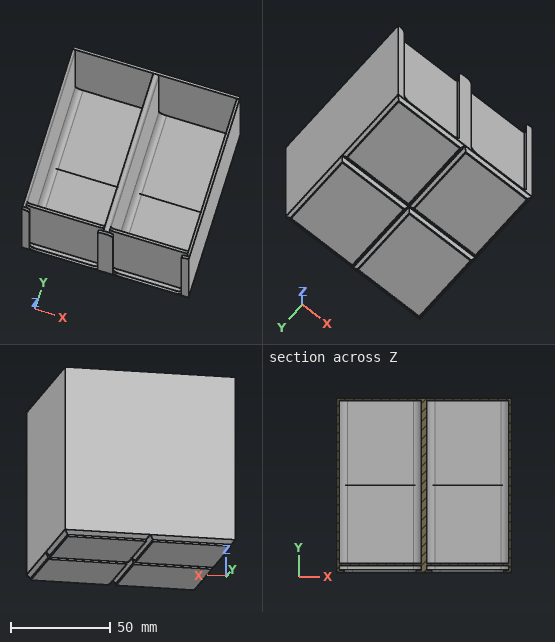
import cadquery as cq

size = 88.0
cells = 2
pitch = size / cells

foot_height = 3.1
foot_straight = 1.0
foot_inset = 1.8

wall = 1.5
floor_top = 3.5
floor_radius = 4.0

frame_thickness = 1.4
slot_depth = 2.0
panel_thickness = 1.3
slot_back = frame_thickness + slot_depth
panel_back = slot_back + panel_thickness

window_margin = 4.0
window_base = 4.0
window_radius = 4.0
window_flare = 3.1
panel_top = size - window_margin
panel_fillet = 2.4


def prism_along_y(profile, y_start, y_end):
    """Extrude a closed XZ profile between two Y positions."""
    return profile.extrude(-(y_end - y_start)).translate((0, y_start, 0))


def foot(x_start, y_start):
    """A square foot that widens upwards to fill its grid cell."""
    center = (x_start + pitch / 2, y_start + pitch / 2)
    base_side = pitch - 2 * foot_inset
    base = cq.Workplane("XY").center(*center).rect(base_side, base_side).extrude(foot_straight)
    taper = (
        cq.Workplane("XY", origin=(0, 0, foot_straight))
        .center(*center)
        .rect(base_side, base_side)
        .workplane(offset=foot_height - foot_straight)
        .rect(pitch, pitch)
        .loft(ruled=True)
    )
    return base.union(taper)


def pocket(x_left, x_right, y_start, y_end, bottom, radius):
    """An open-topped pocket with rounded bottom edges along Y."""
    block = cq.Workplane("XY").box(x_right - x_left, y_end - y_start, size - bottom, centered=False)
    return block.edges("|Y and <Z").fillet(radius).translate((x_left, y_start, bottom))


def frame_window(left, right):
    """A window with rounded lower corners and a flared mouth through the front frame."""
    shoulder = size - window_flare
    corner_top = window_base + window_radius
    profile = (
        cq.Workplane("XZ")
        .moveTo(left, corner_top)
        .radiusArc((left + window_radius, window_base), -window_radius)
        .lineTo(right - window_radius, window_base)
        .radiusArc((right, corner_top), -window_radius)
        .lineTo(right, shoulder)
        .radiusArc((right + window_flare, size), window_flare)
        .lineTo(left - window_flare, size)
        .radiusArc((left, shoulder), window_flare)
        .close()
    )
    return prism_along_y(profile, 0, frame_thickness)


def round_wall_top(face_x, direction):
    """Waste above the rounded top edge of a wall; direction points away from the wall."""
    start_x = face_x - direction * wall
    profile = (
        cq.Workplane("XZ")
        .moveTo(start_x, size)
        .radiusArc((face_x, size - wall), direction * wall)
        .lineTo(face_x, size)
        .close()
    )
    return prism_along_y(profile, frame_thickness, size - wall)


body = cq.Workplane("XY").box(size, size, size - foot_height, centered=False)
body = body.translate((0, 0, foot_height))
for column in range(cells):
    for row in range(cells):
        body = body.union(foot(column * pitch, row * pitch))

for column in range(cells):
    cell_left = column * pitch
    cell_right = cell_left + pitch
    cavity_left = cell_left + wall
    cavity_right = cell_right - wall
    window_left = cell_left + window_margin
    window_right = cell_right - window_margin

    body = body.cut(pocket(cavity_left, cavity_right, panel_back, size - wall, floor_top, floor_radius))
    body = body.cut(pocket(cavity_left, cavity_right, frame_thickness, slot_back, floor_top, floor_radius))
    body = body.cut(frame_window(window_left, window_right))
    body = body.cut(pocket(cavity_left, cavity_right, slot_back, panel_back, panel_top, panel_fillet))
    body = body.cut(round_wall_top(cavity_left, 1))
    body = body.cut(round_wall_top(cavity_right, -1))

result = body